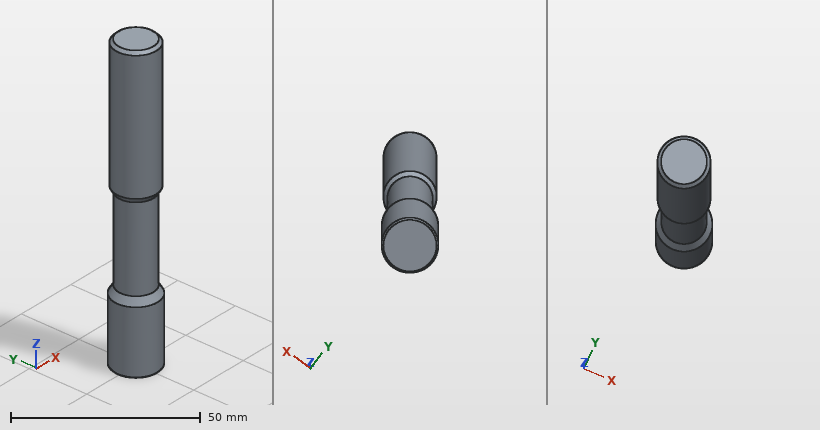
import cadquery as cq

total_length = 100.0
head_diameter = 15.0
waist_diameter = 12.0
shank_diameter = 14.1

head_taper_start = 22.0
head_taper_end = 24.5
shank_taper_start = 53.3
shank_taper_end = 55.0

bottom_chamfer = 0.5
top_chamfer_width = 1.0
top_chamfer_height = 1.0

head_radius = head_diameter / 2
waist_radius = waist_diameter / 2
shank_radius = shank_diameter / 2

half_section = [
    (0, 0),
    (head_radius - bottom_chamfer, 0),
    (head_radius, bottom_chamfer),
    (head_radius, head_taper_start),
    (waist_radius, head_taper_end),
    (waist_radius, shank_taper_start),
    (shank_radius, shank_taper_end),
    (shank_radius, total_length - top_chamfer_height),
    (shank_radius - top_chamfer_width, total_length),
    (0, total_length),
]

result = (
    cq.Workplane("XZ")
    .polyline(half_section)
    .close()
    .revolve(360, (0, 0), (0, 1))
)